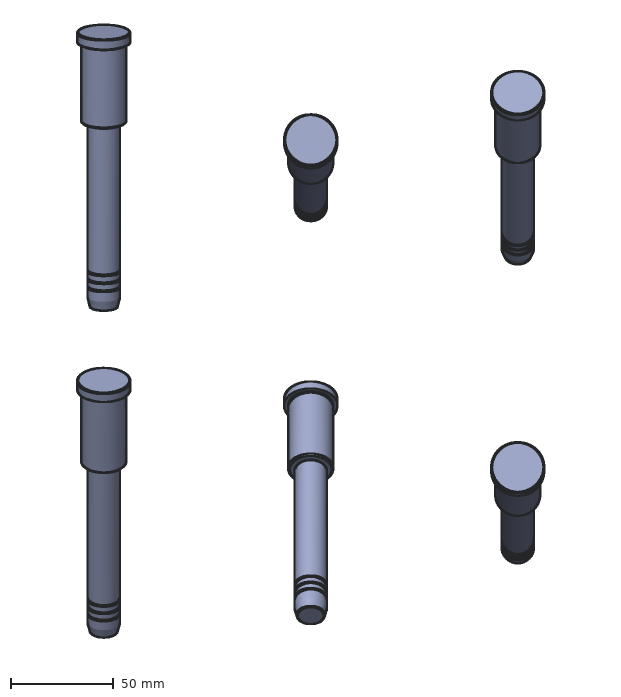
import cadquery as cq

length = 140.0
head_radius = 13.0
head_height = 5.0
head_chamfer = 0.5

body_radius = 11.0
body_bottom = 94.0
body_chamfer = 0.8
relief_depth = 0.4
relief_floor_width = 0.4
relief_width = 1.0

shaft_radius = 8.0
shaft_chamfer_height = 0.8
shaft_chamfer_width = 0.5

tip_height = 5.0
tip_end_radius = 6.9
tip_chamfer_height = 0.4
tip_chamfer_width = 0.5

groove_count = 3
groove_width = 1.0
groove_floor_width = 0.4
groove_depth = 0.3
groove_pitch = 4.0
lowest_groove = 10.5

head_bottom = length - head_height
body_top = head_bottom - relief_width
relief_radius = body_radius - relief_depth
relief_slope = (relief_width - relief_floor_width) / 2


def make_pin():
    """Revolve the half profile, given as (radius, height), about Z."""
    profile = (
        cq.Workplane("XZ")
        .moveTo(0, 0)
        .lineTo(tip_end_radius - tip_chamfer_width, 0)
        .lineTo(tip_end_radius, tip_chamfer_height)
        .lineTo(shaft_radius, tip_height)
        .lineTo(shaft_radius, body_bottom - shaft_chamfer_height)
        .lineTo(shaft_radius - shaft_chamfer_width, body_bottom)
        .lineTo(body_radius - body_chamfer, body_bottom)
        .lineTo(body_radius, body_bottom + body_chamfer)
        .lineTo(body_radius, body_top)
        .lineTo(relief_radius, body_top + relief_slope)
        .lineTo(relief_radius, head_bottom - relief_slope)
        .lineTo(body_radius, head_bottom)
        .lineTo(head_radius, head_bottom)
        .lineTo(head_radius, length - head_chamfer)
        .lineTo(head_radius - head_chamfer, length)
        .lineTo(0, length)
        .close()
    )
    return profile.revolve(360, (0, 0), (0, 1))


def make_groove_ring(center_height):
    """Ring with sloping sides that cuts one flat-bottomed groove into the shaft."""
    floor_radius = shaft_radius - groove_depth
    section = (
        cq.Workplane("XZ", origin=(0, 0, center_height))
        .moveTo(head_radius, -groove_width / 2)
        .lineTo(shaft_radius, -groove_width / 2)
        .lineTo(floor_radius, -groove_floor_width / 2)
        .lineTo(floor_radius, groove_floor_width / 2)
        .lineTo(shaft_radius, groove_width / 2)
        .lineTo(head_radius, groove_width / 2)
        .close()
    )
    return section.revolve(360, (0, 0), (0, 1))


result = make_pin()
for index in range(groove_count):
    result = result.cut(make_groove_ring(lowest_groove + index * groove_pitch))